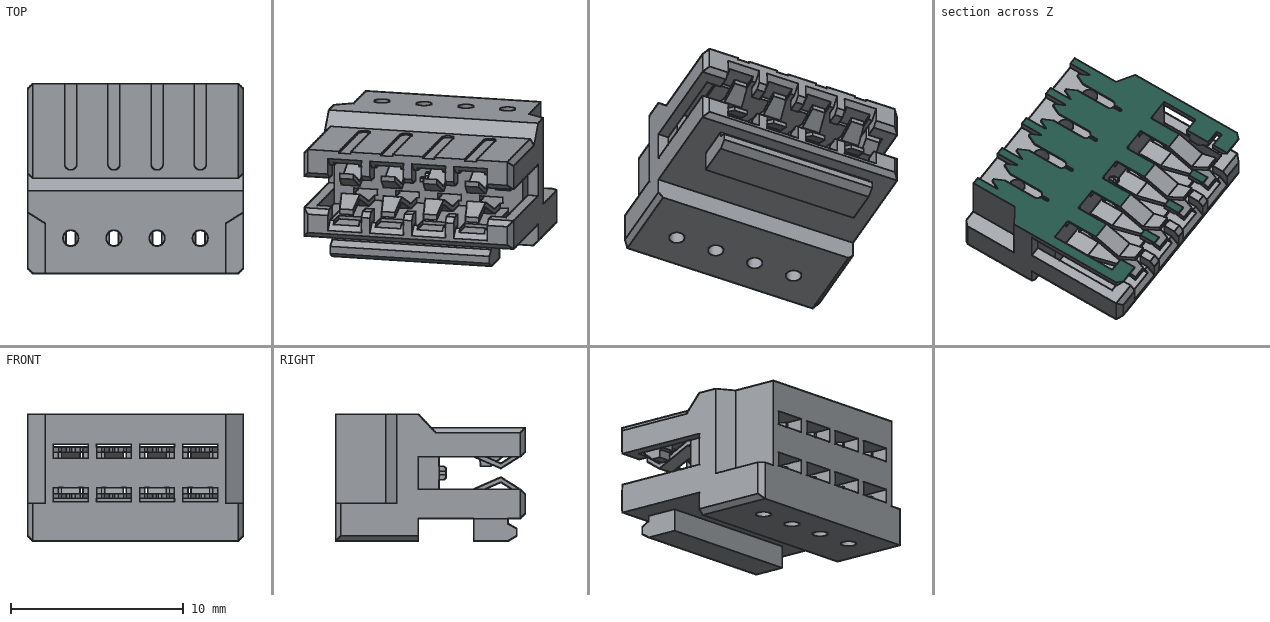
import cadquery as cq


width = 12.5
length = 11.0
height = 7.35
gap_mid_z = 3.94
row_mid_z = 3.95
half_width = width / 2
edge_chamfer = 0.3

block_length = 4.8
arm_gap = 1.88
arm_thickness = 1.7
step_run = 0.72
lower_arm_top = gap_mid_z - arm_gap / 2
lower_arm_bottom = lower_arm_top - arm_thickness
upper_arm_bottom = gap_mid_z + arm_gap / 2
upper_arm_top = upper_arm_bottom + arm_thickness
step_foot = block_length + step_run

gap_wall_end = 6.0
side_rail = 0.62

notch_width = 1.02
notch_straight = 2.9
notch_length = 3.55
notch_floor = 2.2

pitch = 2.5
contact_count = 4
contact_xs = [(i - (contact_count - 1) / 2) * pitch for i in range(contact_count)]
passage_width = 2.0
passage_height = 0.8
passage_floor = 2.3
passage_shoulder = 5.0
neck_width = 1.4

end_wall = 1.0
pocket_end = length - end_wall
relief_depth = 0.2
tip_relief_start = 9.38
tip_relief_width = 1.5
exit_lead_in = 0.5

sheet = 0.3
floor_clearance = 0.15
sheet_bottom = passage_floor + floor_clearance
sheet_top = sheet_bottom + sheet
fork_front = 0.8
tine_tip_width = 0.15
tine_lead_in = 0.6
fork_slot_width = 0.52
fork_slot_end = 3.75
fork_slit_width = 0.12
fork_slit_end = 4.25
spring_width = 1.1
spring_tip_width = 0.8
spring_start = 7.4
spring_peak = (9.58, 3.7)
spring_tip = (10.62, 3.04)

hole_diameter = 0.9
hole_y = 2.05
groove_width = 0.7
groove_start = 6.0
groove_depth = 0.1

key_front = 8.18
key_tip_front = 8.4
key_tip_back = 8.98
key_back = 9.68
key_bottom = 4.32
key_step_y = 8.35
key_step_z = 4.8

latch_half_width = 4.75
latch_front = 8.0
latch_shoulder = 10.0
latch_tip = 10.5
latch_tip_low = 0.3
latch_tip_high = 0.72
latch_neck = 1.0

pin_size = 0.8
pin_web = 0.2
pin_length = 0.4
pin_chamfer = 0.12


def box(x0, x1, y0, y1, z0, z1):
    return cq.Workplane("XY").box(x1 - x0, y1 - y0, z1 - z0, centered=False).translate((x0, y0, z0))


def centred_box(x, box_width, y0, y1, z0, z1):
    return box(x - box_width / 2, x + box_width / 2, y0, y1, z0, z1)


def side_profile(points, x0, x1):
    """Extrude a (y, z) outline along X from x0 to x1."""
    return cq.Workplane("YZ").polyline(points).close().extrude(x1 - x0).translate((x0, 0, 0))


def both_rows(lower):
    """Add the copy of a lower-row body mirrored into the upper row."""
    return lower.union(lower.mirror("XY", (0, 0, row_mid_z)))


def both_sides(left):
    return left.union(left.mirror("YZ"))


def housing_shell():
    c = edge_chamfer
    outline = [
        (0, 0),
        (block_length, 0),
        (block_length, lower_arm_bottom),
        (length - c, lower_arm_bottom),
        (length, lower_arm_bottom + c),
        (length, lower_arm_top - c),
        (length - c, lower_arm_top),
        (block_length, lower_arm_top),
        (block_length, upper_arm_bottom),
        (length - c, upper_arm_bottom),
        (length, upper_arm_bottom + c),
        (length, upper_arm_top),
        (step_foot, upper_arm_top),
        (block_length, height),
        (0, height),
    ]
    body = side_profile(outline, -half_width, half_width)
    plan = cq.Workplane("XY").rect(width, length).extrude(height).edges("|Z").chamfer(c)
    return body.intersect(plan.translate((0, length / 2, 0)))


def long_edge_cuts():
    """Bevels along the sides of the block's underside and the upper arm's top."""
    c = edge_chamfer
    lower = (
        cq.Workplane("XZ")
        .polyline([(-half_width, 0), (-half_width + c, 0), (-half_width, c)])
        .close()
        .extrude(-block_length)
    )
    bevel = (
        cq.Workplane("XZ")
        .polyline([
            (-half_width, upper_arm_top),
            (-half_width + c, upper_arm_top),
            (-half_width, upper_arm_top - c),
        ])
        .close()
        .extrude(-length)
    )
    slope_per_drop = step_run / (height - upper_arm_top)
    behind_slope = side_profile(
        [
            (step_foot, upper_arm_top),
            (step_foot + c * slope_per_drop, upper_arm_top - c),
            (length, upper_arm_top - c),
            (length, upper_arm_top),
        ],
        -half_width,
        half_width,
    )
    return both_sides(lower.union(bevel.intersect(behind_slope)))


def corner_notches():
    notch = (
        cq.Workplane("XY", origin=(0, 0, notch_floor))
        .polyline([
            (-half_width, 0),
            (-half_width + notch_width, 0),
            (-half_width + notch_width, notch_straight),
            (-half_width, notch_length),
        ])
        .close()
        .extrude(height - notch_floor)
    )
    return both_sides(notch)


def arm_pockets():
    """Sunken inner face of the arm, with a deeper relief along each side rail."""
    inner = half_width - side_rail
    pocket = box(-inner, inner, gap_wall_end, pocket_end, passage_floor, row_mid_z)
    relief_edge = contact_xs[0] - passage_width / 2
    relief = box(-inner, relief_edge, gap_wall_end, pocket_end, passage_floor - relief_depth, passage_floor)
    return both_rows(pocket.union(both_sides(relief)))


def contact_passage(x):
    roof = passage_floor + passage_height
    front = centred_box(x, passage_width, 0, passage_shoulder, passage_floor, roof)
    channel = centred_box(x, passage_width, passage_shoulder, gap_wall_end, passage_floor, sheet_top)
    neck = centred_box(x, neck_width, passage_shoulder, gap_wall_end, sheet_top, roof)
    exit_slot = centred_box(x, passage_width, gap_wall_end, length, passage_floor, row_mid_z)
    tip_relief = centred_box(
        x, tip_relief_width, tip_relief_start, length, passage_floor - relief_depth, passage_floor
    )
    lead_in = side_profile(
        [
            (length - exit_lead_in, passage_floor),
            (length, passage_floor - exit_lead_in),
            (length, passage_floor),
        ],
        x - passage_width / 2,
        x + passage_width / 2,
    )
    return both_rows(front.union(channel).union(neck).union(exit_slot).union(tip_relief).union(lead_in))


def finger_groove(x):
    round_y = groove_start + groove_width / 2
    floor = upper_arm_top - groove_depth
    straight = centred_box(x, groove_width, round_y, length, floor, upper_arm_top)
    end = cq.Workplane("XY", origin=(x, round_y, floor)).circle(groove_width / 2).extrude(groove_depth)
    return straight.union(end)


def test_hole(x):
    return cq.Workplane("XY", origin=(x, hole_y, 0)).circle(hole_diameter / 2).extrude(height)


def fork_contact(x):
    """Flat fork whose tail rises into a bent spring; the row above is mirrored."""
    half = passage_width / 2
    slot = fork_slot_width / 2
    tine_centre = (half + slot) / 2
    lead_in_end = fork_front + tine_lead_in
    tip = tine_tip_width / 2
    plan = (
        cq.Workplane("XY", origin=(x, 0, sheet_bottom))
        .moveTo(-half, gap_wall_end)
        .lineTo(-half, lead_in_end)
        .lineTo(-tine_centre - tip, fork_front)
        .lineTo(-tine_centre + tip, fork_front)
        .lineTo(-slot, lead_in_end)
        .lineTo(-slot, fork_slot_end - slot)
        .threePointArc((0, fork_slot_end), (slot, fork_slot_end - slot))
        .lineTo(slot, lead_in_end)
        .lineTo(tine_centre - tip, fork_front)
        .lineTo(tine_centre + tip, fork_front)
        .lineTo(half, lead_in_end)
        .lineTo(half, gap_wall_end)
        .close()
        .extrude(sheet)
    )
    slit = centred_box(x, fork_slit_width, hole_y, fork_slit_end, sheet_bottom, sheet_top)
    upper_face = [(gap_wall_end, sheet_top), (spring_start, sheet_top), spring_peak, spring_tip]
    lower_face = [(y, z - sheet) for y, z in reversed(upper_face)]
    spring = side_profile(upper_face + lower_face, x - spring_width / 2, x + spring_width / 2)
    taper = (
        cq.Workplane("XY", origin=(x, 0, 0))
        .polyline([
            (-spring_width / 2, gap_wall_end),
            (-spring_width / 2, spring_peak[0]),
            (-spring_tip_width / 2, spring_tip[0]),
            (spring_tip_width / 2, spring_tip[0]),
            (spring_width / 2, spring_peak[0]),
            (spring_width / 2, gap_wall_end),
        ])
        .close()
        .extrude(height)
    )
    return both_rows(plan.cut(slit).union(spring.intersect(taper)))


def key_rib():
    """Polarising rib that hangs from the upper arm beside the contact at the -X end."""
    ceiling = 2 * row_mid_z - passage_floor + relief_depth
    outline = [
        (key_front, ceiling),
        (key_front, upper_arm_bottom),
        (key_step_y, key_step_z),
        (key_tip_front, key_bottom),
        (key_tip_back, key_bottom),
        (key_back, upper_arm_bottom),
        (key_back, ceiling),
    ]
    return side_profile(outline, -half_width + side_rail, contact_xs[0] - passage_width / 2)


def latch():
    outline = [
        (latch_front, lower_arm_bottom),
        (latch_front, 0),
        (latch_shoulder, 0),
        (latch_tip, latch_tip_low),
        (latch_tip, latch_tip_high),
        (latch_shoulder, latch_neck),
        (latch_shoulder, lower_arm_bottom),
    ]
    return side_profile(outline, -latch_half_width, latch_half_width)


def stop_pin():
    """Cross-shaped pin whose upright blade is bevelled at its end."""
    end = gap_wall_end + pin_length
    upright = centred_box(0, pin_web, gap_wall_end, end, gap_mid_z - pin_size / 2, gap_mid_z + pin_size / 2)
    level = centred_box(0, pin_size, gap_wall_end, end, gap_mid_z - pin_web / 2, gap_mid_z + pin_web / 2)
    upright = upright.faces(">Y").edges("|X").chamfer(pin_chamfer)
    return upright.union(level)


gap_wall = box(
    -half_width + side_rail, half_width - side_rail,
    block_length, gap_wall_end, lower_arm_top, upper_arm_bottom,
)

result = housing_shell().union(gap_wall)
result = result.cut(long_edge_cuts()).cut(corner_notches()).cut(arm_pockets())
for contact_x in contact_xs:
    result = result.cut(contact_passage(contact_x)).cut(finger_groove(contact_x)).cut(test_hole(contact_x))
for contact_x in contact_xs:
    result = result.union(fork_contact(contact_x))
result = result.union(key_rib()).union(latch()).union(stop_pin())